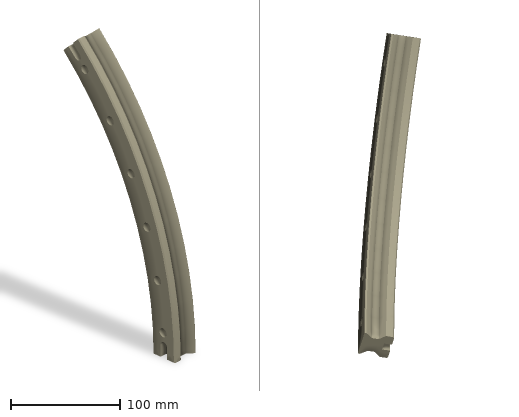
import cadquery as cq

ARC_RADIUS = 400.0
ARC_ANGLE = 45.0
WIDTH = 28.0
HEIGHT = 28.0

GROOVE_DEPTH = 5.4
LOWER_FLANK_START = 7.8
LOWER_FLANK_KNEE = 9.3
LOWER_KNEE_DEPTH = 1.4
NECK_START = 13.5
NECK_END = 20.0
UPPER_FLANK_KNEE = 24.5
UPPER_KNEE_DEPTH = 1.4
UPPER_FLANK_END = 26.2

BASE_CHAMFER = 1.2
TOP_CHAMFER = 0.4

HOLE_COUNT = 6
HOLE_DIAMETER = 9.0
HOLE_PITCH = ARC_ANGLE / HOLE_COUNT

SLOT_WIDTH = 8.0
SLOT_LENGTH = 16.5
SLOT_DEPTH = 7.5


def side_outline():
    """One side of the profile as (depth into the side, height), base to top."""
    return [
        (BASE_CHAMFER, 0),
        (0, BASE_CHAMFER),
        (0, LOWER_FLANK_START),
        (LOWER_KNEE_DEPTH, LOWER_FLANK_KNEE),
        (GROOVE_DEPTH, NECK_START),
        (GROOVE_DEPTH, NECK_END),
        (UPPER_KNEE_DEPTH, UPPER_FLANK_KNEE),
        (0, UPPER_FLANK_END),
        (0, HEIGHT - TOP_CHAMFER),
        (TOP_CHAMFER, HEIGHT),
    ]


def turn(body, angle):
    """Rotate a body about the arc axis, from +X toward +Z."""
    return body.rotate((0, 0, 0), (0, 1, 0), -angle)


def make_rail():
    """Plain rail: the grooved profile revolved about the arc axis."""
    outer_radius = ARC_RADIUS + WIDTH / 2
    inner_radius = ARC_RADIUS - WIDTH / 2
    outer_side = [(outer_radius - depth, y) for depth, y in side_outline()]
    inner_side = [(inner_radius + depth, y) for depth, y in side_outline()]
    profile = cq.Workplane("XY").polyline(outer_side + inner_side[::-1]).close()
    return profile.revolve(ARC_ANGLE, (0, 0, 0), (0, -1, 0))


def make_hole(angle):
    """Through-hole cutter on the rail centreline at the given angle."""
    hole = cq.Workplane("XZ").center(ARC_RADIUS, 0).circle(HOLE_DIAMETER / 2).extrude(-HEIGHT)
    return turn(hole, angle)


def make_slot(angle):
    """Slot cutter for the rail end at the given angle."""
    outline = cq.Workplane("XZ").center(ARC_RADIUS, 0).slot2D(2 * SLOT_LENGTH, SLOT_WIDTH, 90)
    slot = outline.extrude(-SLOT_DEPTH)
    return turn(slot, angle)


result = make_rail()
for index in range(HOLE_COUNT):
    result = result.cut(make_hole((index + 0.5) * HOLE_PITCH))
for end_angle in (0, ARC_ANGLE):
    result = result.cut(make_slot(end_angle))